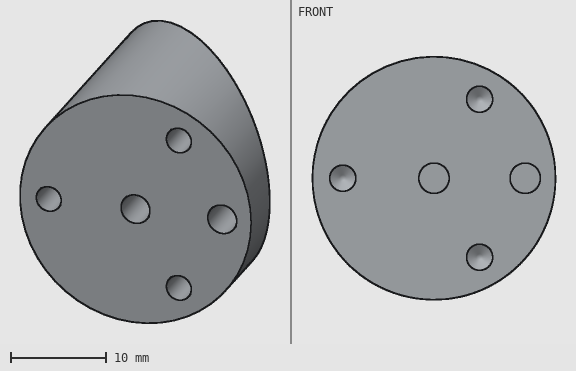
import cadquery as cq
import math

length = 31.75
diameter = 25.4
radius = diameter / 2
short_side = length - diameter

hole_circle_radius = 9.52
pin_hole_diameter = 3.18
pin_hole_depth = 6.35
screw_hole_diameter = 2.73
screw_hole_depth = 6.35
drill_point_angle = 118.0
screw_hole_angles = (60, 180, 300)

into_part = cq.Vector(0, 1, 0)


def make_body():
    """Extrude the slanted side outline and keep what lies inside the round bar."""
    bar = cq.Workplane("XZ").circle(radius).extrude(-length)
    outline = (
        cq.Workplane("XY")
        .moveTo(-radius, 0)
        .lineTo(radius, 0)
        .lineTo(radius, short_side)
        .lineTo(-radius, length)
        .close()
        .extrude(radius, both=True)
    )
    return bar.intersect(outline)


def pin_hole(x, z):
    """Flat-bottomed blind hole."""
    return cq.Solid.makeCylinder(pin_hole_diameter / 2, pin_hole_depth, cq.Vector(x, 0, z), into_part)


def screw_hole(x, z):
    """Blind hole that ends in a conical drill point."""
    hole_radius = screw_hole_diameter / 2
    point_height = hole_radius / math.tan(math.radians(drill_point_angle / 2))
    straight = cq.Solid.makeCylinder(hole_radius, screw_hole_depth, cq.Vector(x, 0, z), into_part)
    point = cq.Solid.makeCone(hole_radius, 0, point_height, cq.Vector(x, screw_hole_depth, z), into_part)
    return straight.fuse(point)


result = make_body()

for pin_x in (0, hole_circle_radius):
    result = result.cut(cq.Workplane(obj=pin_hole(pin_x, 0)))

for angle in screw_hole_angles:
    screw_x = hole_circle_radius * math.cos(math.radians(angle))
    screw_z = hole_circle_radius * math.sin(math.radians(angle))
    result = result.cut(cq.Workplane(obj=screw_hole(screw_x, screw_z)))